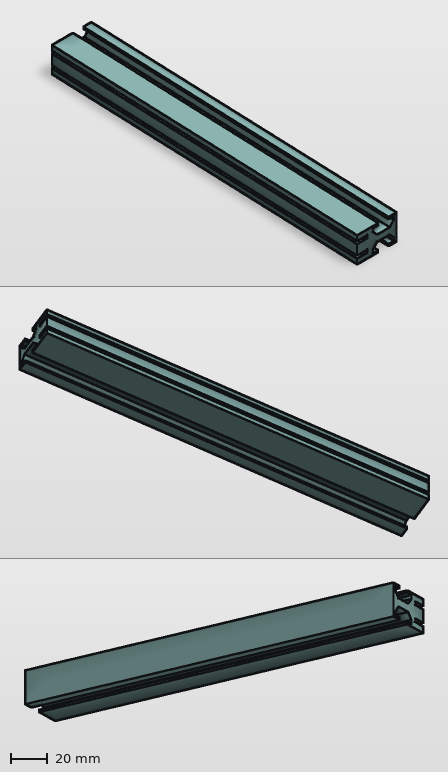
import cadquery as cq

length = 240.0
width = 30.0
height = 20.0

back_wall = 2.2
cavity_width = 15.8
mouth_width = 8.0
lip_thickness = 1.5
web_thickness = 5.0
cavity_floor_width = 9.5
cavity_side_height = 2.5

groove_depth = 8.0
groove_span = 12.0
tongue_height = 8.0

cavity_center_y = width / 2 - back_wall - cavity_width / 2


def t_slot_cutter():
    """T-slot opening upward, with sloped flanks down to a flat floor."""
    top = height / 2
    lip_bottom = top - lip_thickness
    flank_top = lip_bottom - cavity_side_height
    floor = web_thickness / 2
    half_mouth = mouth_width / 2
    half_cavity = cavity_width / 2
    half_floor = cavity_floor_width / 2
    right_half = [
        (half_floor, floor),
        (half_cavity, flank_top),
        (half_cavity, lip_bottom),
        (half_mouth, lip_bottom),
        (half_mouth, top),
    ]
    left_half = [(-y, z) for y, z in reversed(right_half)]
    return (
        cq.Workplane("YZ", origin=(-length / 2, cavity_center_y, 0))
        .polyline(right_half + left_half)
        .close()
        .extrude(length)
    )


def groove_cutter():
    """Upper rectangular groove, open at the -Y face."""
    groove_height = (groove_span - tongue_height) / 2
    center_y = -width / 2 + groove_depth / 2
    center_z = (groove_span + tongue_height) / 4
    return (
        cq.Workplane("XY")
        .box(length, groove_depth, groove_height)
        .translate((0, center_y, center_z))
    )


result = cq.Workplane("XY").box(length, width, height)
for cutter in (t_slot_cutter(), groove_cutter()):
    result = result.cut(cutter).cut(cutter.mirror("XY"))